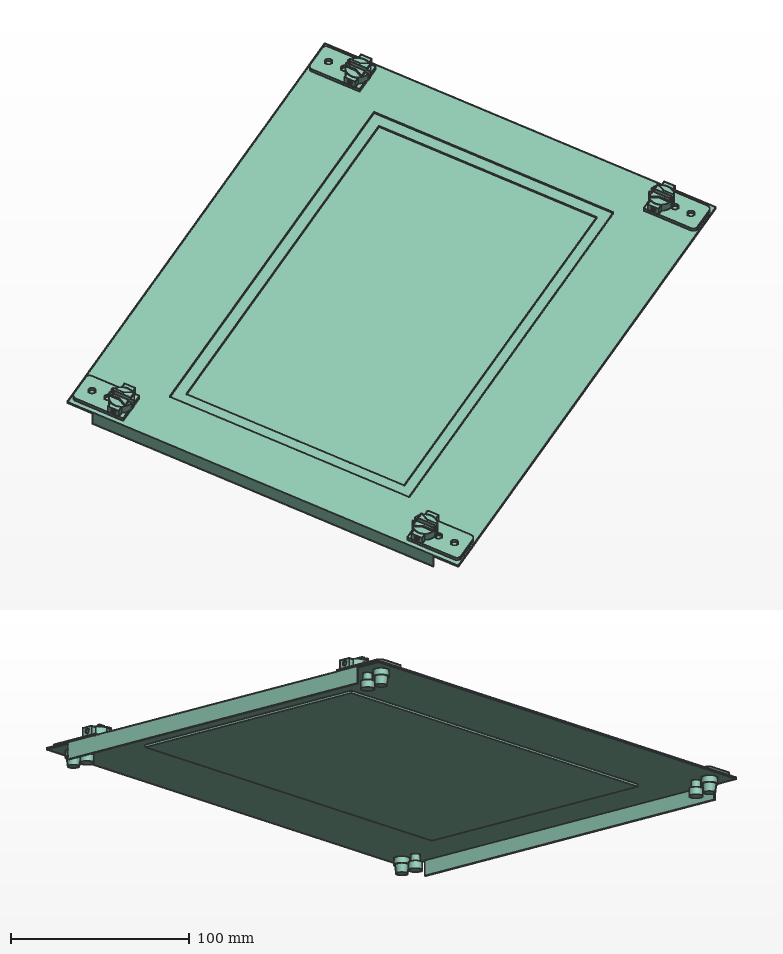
import cadquery as cq

PANEL_X = 250.0
PANEL_Y = 300.0
SHEET = 1.0
FLANGE_DEPTH = 10.0
FLANGE_X = 217.8
OPENING_X = 153.0
OPENING_Y = 238.2

PANE_OVERLAP = 1.0
PANE_THICK = 1.5
PANE_BORDER = 7.0
PANE_RECESS = 1.0

PLATE_X = 33.0
PLATE_Y = 19.0
PLATE_THICK = 2.0
PLATE_CORNER = 2.7
PLATE_EDGE_GAP = 1.2
LATCH_Y = 137.7
STUD_X = 115.8
STUD_RADIUS = 4.5
STUD_STEP_Z = -4.8
STUD_TAPER_RADIUS = 4.0
STUD_TIP_RADIUS = 3.3
POST_X = 105.5
POST_RADIUS = 2.7
POST_FOOT_RADIUS = 4.0
POST_FOOT_TOP = -5.5
BLIND_HOLE_DIAMETER = 4.2

KNOB_X = 97.0
KNOB_RADIUS = 7.2
KNOB_DISC_TOP = 7.5
KNOB_TOP = 8.7
LUG_WIDTH = 7.0
LUG_REACH = 9.5
LUG_STEP = 0.3
DIMPLE_DIAMETER = 2.7
DIMPLE_DEPTH = 1.0
POINTER_TIP_WIDTH = 5.0
POINTER_TAIL_WIDTH = 10.5
POINTER_TAIL_X = 5.0
SLOT_WIDTH = 2.0
SLOT_FLOOR = 3.5
SLOT_END_WALL = 1.5
WINDOW_TOP = 6.0


def block(x0, x1, y0, y1, z0, z1):
    """Box between two opposite corners."""
    return cq.Workplane("XY").box(x1 - x0, y1 - y0, z1 - z0, centered=False).translate((x0, y0, z0))


def centred_block(size_x, size_y, z0, z1):
    """Box centred on the Z axis."""
    return block(-size_x / 2, size_x / 2, -size_y / 2, size_y / 2, z0, z1)


def disc(x, radius, z0, z1):
    """Upright cylinder standing on the X axis."""
    return cq.Workplane("XY", origin=(x, 0, z0)).circle(radius).extrude(z1 - z0)


def make_panel():
    panel = centred_block(PANEL_X, PANEL_Y, -SHEET, 0)
    flange = centred_block(FLANGE_X, SHEET, -FLANGE_DEPTH, 0)
    flange_y = (PANEL_Y - SHEET) / 2
    for y in (-flange_y, flange_y):
        panel = panel.union(flange.translate((0, y, 0)))
    panel = panel.cut(centred_block(OPENING_X, OPENING_Y, -SHEET, 0))
    for side in (-1, 1):
        for y in (-LATCH_Y, LATCH_Y):
            panel = panel.cut(disc(side * STUD_X, STUD_RADIUS, -SHEET, 0).translate((0, y, 0)))
            panel = panel.cut(disc(side * POST_X, POST_RADIUS, -SHEET, 0).translate((0, y, 0)))
    return panel


def make_pane():
    top = -SHEET
    pane = centred_block(OPENING_X + 2 * PANE_OVERLAP, OPENING_Y + 2 * PANE_OVERLAP, top - PANE_THICK, top)
    recess_x = OPENING_X - 2 * PANE_BORDER
    recess_y = OPENING_Y - 2 * PANE_BORDER
    return pane.cut(centred_block(recess_x, recess_y, top - PANE_RECESS, top))


def make_stud():
    """Straight shank with a tapered tip that ends level with the flanges."""
    shank = disc(-STUD_X, STUD_RADIUS, STUD_STEP_Z, 0)
    tip = cq.Workplane("XY", origin=(-STUD_X, 0, STUD_STEP_Z)).circle(STUD_TAPER_RADIUS)
    tip = tip.workplane(offset=-FLANGE_DEPTH - STUD_STEP_Z).circle(STUD_TIP_RADIUS).loft()
    return shank.union(tip)


def make_post():
    """Slim post ending in a wider foot that is level with the flanges."""
    post = disc(-POST_X, POST_RADIUS, POST_FOOT_TOP, 0)
    return post.union(disc(-POST_X, POST_FOOT_RADIUS, -FLANGE_DEPTH, POST_FOOT_TOP))


def make_plate():
    """Latch plate of the -X side, centred on Y = 0."""
    x0 = PLATE_EDGE_GAP - PANEL_X / 2
    plate = block(x0, x0 + PLATE_X, -PLATE_Y / 2, PLATE_Y / 2, 0, PLATE_THICK)
    plate = plate.edges("|Z and <X").fillet(PLATE_CORNER)
    plate = plate.union(make_stud()).union(make_post())
    for x in (-STUD_X, -POST_X):
        plate = plate.cut(disc(x, BLIND_HOLE_DIAMETER / 2, 0, PLATE_THICK))
    return plate


def make_pointer():
    """Raised part of the knob: parallel from the tip to the middle, then flaring to the tail."""
    tip = POINTER_TIP_WIDTH / 2
    tail = POINTER_TAIL_WIDTH / 2
    outline = [
        (-KNOB_RADIUS, -tip),
        (0, -tip),
        (POINTER_TAIL_X, -tail),
        (POINTER_TAIL_X, tail),
        (0, tip),
        (-KNOB_RADIUS, tip),
    ]
    flared = cq.Workplane("XY").workplane(offset=KNOB_DISC_TOP).polyline(outline).close()
    return flared.extrude(KNOB_TOP - KNOB_DISC_TOP).intersect(disc(0, KNOB_RADIUS, KNOB_DISC_TOP, KNOB_TOP))


def make_dimples():
    """Round recesses in the end faces of the two lugs."""
    middle_z = (PLATE_THICK + KNOB_DISC_TOP) / 2
    dimple = cq.Workplane("XZ", origin=(0, LUG_REACH, middle_z)).circle(DIMPLE_DIAMETER / 2)
    dimple = dimple.extrude(DIMPLE_DEPTH)
    return dimple, dimple.mirror("XZ")


def make_knob():
    """Knob of the -X side, centred on Y = 0, with its pointer toward -X."""
    knob = disc(0, KNOB_RADIUS, PLATE_THICK, KNOB_DISC_TOP)
    knob = knob.union(centred_block(LUG_WIDTH, 2 * LUG_REACH, PLATE_THICK, KNOB_DISC_TOP - LUG_STEP))
    knob = knob.union(make_pointer())
    for dimple in make_dimples():
        knob = knob.cut(dimple)
    side = SLOT_WIDTH / 2
    wall_x = SLOT_END_WALL - KNOB_RADIUS
    knob = knob.cut(block(wall_x, KNOB_RADIUS, -side, side, SLOT_FLOOR, KNOB_TOP))
    knob = knob.cut(block(-KNOB_RADIUS, wall_x, -side, side, SLOT_FLOOR, WINDOW_TOP))
    knob = knob.cut(block(-KNOB_RADIUS, wall_x, -side, side, KNOB_DISC_TOP, KNOB_TOP))
    return knob.translate((-KNOB_X, 0, 0))


def at_corners(body):
    """Four separate copies: two on the -X side and two mirrored to the +X side."""
    copies = []
    for y in (-LATCH_Y, LATCH_Y):
        copy = body.translate((0, y, 0))
        copies += [copy.val(), copy.mirror("YZ").val()]
    return copies


panel = make_panel()
pane = make_pane()
plates = at_corners(make_plate())
knobs = at_corners(make_knob())

result = cq.Compound.makeCompound([panel.val(), pane.val(), *plates, *knobs])